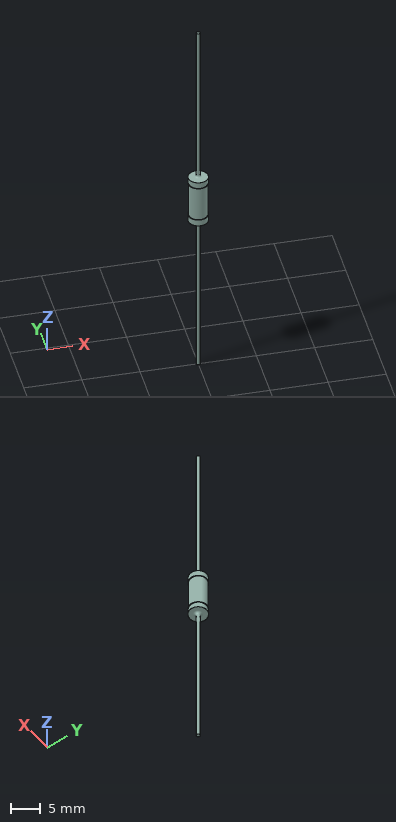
import cadquery as cq
import math

overall_length = 69.0
body_length = 9.0
cap_diameter = 3.5
cap_length = 1.25
sleeve_diameter = 3.3
lead_diameter = 0.7
lead_fillet = 0.5

lead_tip = overall_length / 2
cap_outer = body_length / 2
cap_inner = cap_outer - cap_length
fillet_end = cap_outer + lead_fillet
lead_radius = lead_diameter / 2
fillet_foot = lead_radius + lead_fillet
cap_radius = cap_diameter / 2
sleeve_radius = sleeve_diameter / 2

fillet_reach = lead_fillet * math.sqrt(0.5)
fillet_mid_radius = fillet_foot - fillet_reach
fillet_mid_height = fillet_end - fillet_reach


def half_profile():
    """Half section on the -Y side of the axis, from the bottom lead tip to the top one."""
    return (
        cq.Workplane("YZ")
        .moveTo(0, -lead_tip)
        .lineTo(-lead_radius, -lead_tip)
        .lineTo(-lead_radius, -fillet_end)
        .threePointArc((-fillet_mid_radius, -fillet_mid_height), (-fillet_foot, -cap_outer))
        .lineTo(-cap_radius, -cap_outer)
        .lineTo(-cap_radius, -cap_inner)
        .lineTo(-sleeve_radius, -cap_inner)
        .lineTo(-sleeve_radius, cap_inner)
        .lineTo(-cap_radius, cap_inner)
        .lineTo(-cap_radius, cap_outer)
        .lineTo(-fillet_foot, cap_outer)
        .threePointArc((-fillet_mid_radius, fillet_mid_height), (-lead_radius, fillet_end))
        .lineTo(-lead_radius, lead_tip)
        .lineTo(0, lead_tip)
        .close()
    )


result = half_profile().revolve(360, (0, 0, 0), (0, 1, 0))